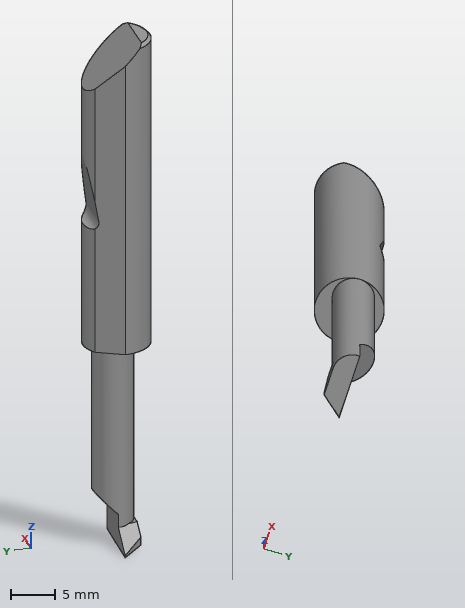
import cadquery as cq
import math

total_length = 63.5
shank_radius = 3.97
shank_bottom = 25.4
rim_chamfer = 0.4
slope_start_y = -2.15
side_flat_angle = 153.0
side_flat_distance = 3.55

notch_top = 48.9
notch_root = 41.6
notch_bottom = 40.5
notch_depth = 1.2

neck_radius = 2.4
neck_x = shank_radius - neck_radius
neck_relief_z = 4.1

tip_x = -3.75
front_corner_x = -1.8
head_top = 2.65
flank_height = 0.25
flank_slope = 0.8
flank_drop = 0.16
end_slope = 0.04
end_clearance = 0.15

cutter_size = 38.1


def beyond_plane(point, normal):
    """Large block filling the side of a plane toward its normal."""
    plane = cq.Plane(origin=point, normal=normal)
    return cq.Workplane(plane).rect(cutter_size, cutter_size).extrude(cutter_size)


def make_shank():
    shank = (
        cq.Workplane("XY", origin=(0, 0, shank_bottom))
        .circle(shank_radius)
        .extrude(total_length - shank_bottom)
        .faces(">Z")
        .chamfer(rim_chamfer)
    )
    shank = shank.cut(beyond_plane((0, slope_start_y, total_length), (0, 1, 1)))

    angle = math.radians(side_flat_angle)
    flat_normal = (math.cos(angle), math.sin(angle), 0)
    flat_point = tuple(side_flat_distance * part for part in flat_normal)
    flat_plane = cq.Plane(origin=flat_point, xDir=(0, 0, 1), normal=flat_normal)
    flat_cutter = cq.Workplane(flat_plane).rect(2 * total_length, cutter_size).extrude(shank_radius)
    return shank.cut(flat_cutter).cut(make_notch())


def make_notch():
    root_y = shank_radius - notch_depth
    corner_height = notch_root - notch_bottom
    corner_y = root_y + corner_height
    bulge = corner_height * math.sqrt(0.5)
    return (
        cq.Workplane("YZ")
        .moveTo(shank_radius, notch_top)
        .lineTo(root_y, notch_root)
        .threePointArc((corner_y - bulge, notch_root - bulge), (corner_y, notch_bottom))
        .lineTo(shank_radius, notch_bottom)
        .close()
        .extrude(shank_radius, both=True)
    )


def make_neck():
    neck = cq.Workplane("XY").center(neck_x, 0).circle(neck_radius).extrude(shank_bottom)
    relief = (
        cq.Workplane("YZ")
        .polyline([
            (0, 0),
            (0, neck_relief_z),
            (neck_radius, neck_relief_z + neck_radius),
            (neck_radius, 0),
        ])
        .close()
        .extrude(2 * shank_radius, both=True)
    )
    return neck.cut(relief)


def make_head():
    head = (
        cq.Workplane("XY")
        .polyline([(tip_x, 0), (front_corner_x, -neck_radius), (neck_x, -neck_radius), (neck_x, 0)])
        .close()
        .extrude(head_top)
    )
    return head.cut(beyond_plane((tip_x, 0, flank_height), (-flank_slope, -flank_drop, 1)))


end_face_cutter = beyond_plane((tip_x, 0, 0), (end_slope, -end_clearance, -1))

result = make_shank().union(make_neck()).union(make_head()).cut(end_face_cutter)